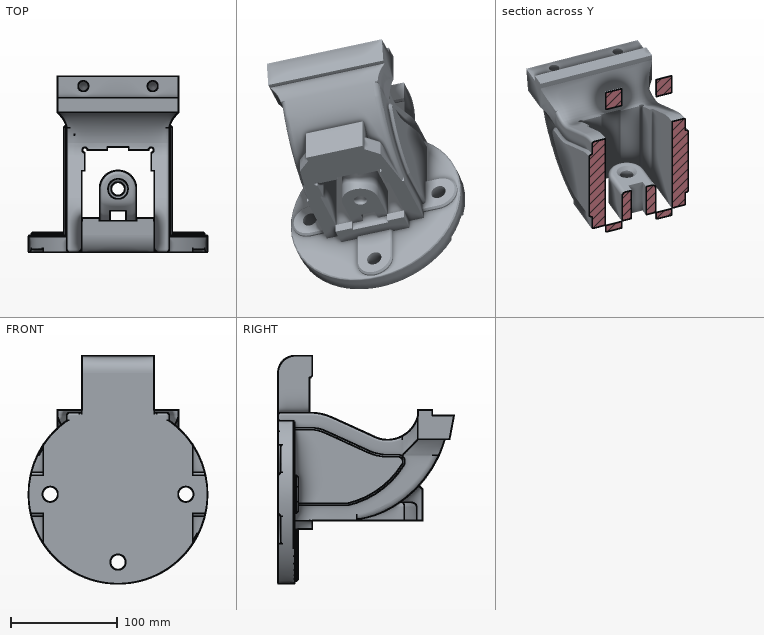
import cadquery as cq
import math


disc_radius = 84.36
disc_thickness = 16.0
disc_edge = 1.3
top_z = 130.58
tab_half_width = 34.0
tab_thickness = 29.9
tab_round = 16.5
lip_back_y = 32.5
lip_bottom_z = 109.8
lip_gap_half_width = 17.5
tab_bottom_z = -32.9

arm_half_width = 48.1
arm_top_z = 77.0
arm_bottom_z = -24.7
arm_top_round = 2.8
arm_back_round = 5.2

panel_raise = 3.0
panel_edge = 2.0
panel_inset = 14.2
panel_bottom_z = -10.5
panel_tip_y = 123.8
panel_tip_radius = 6.5

head_half_width = 57.2
head_front_y = 131.8
head_step_y = 145.5
head_back_y = 166.0
head_back_bottom_y = 161.6
head_top_z = 79.5
head_step_z = 74.2
head_bottom_z = 51.5
flare_front_y = 117.1
flare_bottom_z = 36.5

cavity_back_y = 96.3


def box(x0, x1, y0, y1, z0, z1):
    return cq.Workplane("XY").box(x1 - x0, y1 - y0, z1 - z0, centered=False).translate((x0, y0, z0))


def wide_box(half_width, y0, y1, z0, z1):
    return box(-half_width, half_width, y0, y1, z0, z1)


def both_sides(solid):
    return solid.union(solid.mirror("YZ"))


def bore(x, z, radius, length):
    """Cylinder along +Y from the front face."""
    return cq.Workplane("XZ").center(x, z).circle(radius).extrude(-length)


bolt_circle_radius = 63.8
bolt_hole_radius = 7.0
pad_radius = 17.8
pad_back_y = 19.1
pad_edge = 1.7
bolt_places = [(-bolt_circle_radius, 0), (bolt_circle_radius, 0), (0, -bolt_circle_radius)]


def make_disc_blank():
    return bore(0, 0, disc_radius, disc_thickness).edges().fillet(disc_edge)


def make_disc():
    disc = make_disc_blank()
    above_arms = wide_box(disc_radius, -2.1, disc_thickness + 2.1, arm_top_z, disc_radius + 2.1)
    disc = disc.cut(above_arms)
    for x, z in bolt_places:
        run = bolt_circle_radius
        pad = bore(0, 0, pad_radius, pad_back_y).union(
            box(0, run, 0, pad_back_y, -pad_radius, pad_radius)
        )
        pad = pad.union(bore(run, 0, pad_radius, pad_back_y))
        pad = pad.faces(">Y").edges().chamfer(pad_edge)
        angle = -math.degrees(math.atan2(z, x))
        disc = disc.union(pad.rotate((0, 0, 0), (0, 1, 0), angle))
    return disc


rim_pocket_x = 70.3
rim_pocket_depth = 2.8
rim_pocket_slope = 2.8


def make_rim_pockets():
    reach = rim_pocket_depth + disc_edge
    pocket = (
        cq.Workplane("YZ")
        .moveTo(-2.1, pad_radius)
        .lineTo(0, pad_radius)
        .lineTo(rim_pocket_depth, pad_radius + rim_pocket_slope)
        .lineTo(reach, pad_radius + rim_pocket_slope)
        .lineTo(reach, disc_radius)
        .lineTo(-2.1, disc_radius)
        .close()
        .extrude(disc_radius - rim_pocket_x)
        .translate((rim_pocket_x, 0, 0))
    )
    pocket = pocket.cut(make_disc_blank().translate((0, rim_pocket_depth, 0)))
    return both_sides(pocket.union(pocket.mirror("XY")))


lip_chamfer = 1.7


def make_tab():
    tab = wide_box(tab_half_width, 0, tab_thickness, tab_bottom_z, top_z)
    tab = tab.edges(">Z and <Y").fillet(tab_round)
    upper_lip = box(lip_gap_half_width, tab_half_width, tab_thickness, lip_back_y, lip_bottom_z, top_z)
    upper_lip = upper_lip.edges("<Z and >Y").chamfer(lip_chamfer)
    lower_lip = box(
        lip_gap_half_width, tab_half_width, tab_thickness, lip_back_y, tab_bottom_z, arm_bottom_z
    )
    return tab.union(both_sides(upper_lip)).union(both_sides(lower_lip))


back_centre_y = 52.9
back_centre_z = 81.7
back_radius = 108.5


def back_arc_y(z):
    return back_centre_y + math.sqrt(back_radius**2 - (z - back_centre_z) ** 2)


top_level_end_y = 30.3
top_slope = math.radians(24.5)
knee_radius = 49.9
valley_radius = 27.5
valley_y = 103.2


def draw_top(outline, inset):
    """Draw from the front to the lowest point of the arms' top, shifted inwards by inset."""
    bend_out = knee_radius - inset
    bend_in = valley_radius + inset
    sine = math.sin(top_slope)
    rise = 1 - math.cos(top_slope)
    level_z = arm_top_z - inset
    slope_start_y = top_level_end_y + bend_out * sine
    slope_start_z = level_z - bend_out * rise
    slope_end_y = valley_y - bend_in * sine
    slope_end_z = slope_start_z - (slope_end_y - slope_start_y) * math.tan(top_slope)
    return (
        outline.lineTo(0, level_z)
        .lineTo(top_level_end_y, level_z)
        .tangentArcPoint((slope_start_y, slope_start_z), relative=False)
        .lineTo(slope_end_y, slope_end_z)
        .tangentArcPoint((valley_y, slope_end_z - bend_in * rise), relative=False)
    )


def side_outline():
    outline = cq.Workplane("YZ").moveTo(0, arm_bottom_z)
    middle_z = (arm_bottom_z + head_bottom_z) / 2
    return (
        draw_top(outline, 0)
        .tangentArcPoint((head_front_y, head_step_z), relative=False)
        .lineTo(head_front_y, head_bottom_z)
        .lineTo(back_arc_y(head_bottom_z), head_bottom_z)
        .threePointArc((back_arc_y(middle_z), middle_z), (back_arc_y(arm_bottom_z), arm_bottom_z))
        .close()
    )


def make_arms():
    arms = side_outline().extrude(arm_half_width, both=True)
    top_zone = cq.selectors.BoxSelector(
        (-head_half_width, -2.1, flare_bottom_z), (head_half_width, flare_front_y, top_z)
    )
    arms = arms.edges("|X and >Z and <Y").fillet(arm_top_round)
    arms = arms.faces("<X or >X").edges(top_zone).edges("not |Z").fillet(arm_top_round)
    rounder = cq.Workplane("YZ").center(back_centre_y, back_centre_z).circle(back_radius)
    rounder = rounder.extrude(arm_half_width, both=True).edges().fillet(arm_back_round)
    straight_part = wide_box(arm_half_width, 0, back_arc_y(arm_bottom_z), arm_bottom_z, arm_top_z)
    return arms.intersect(rounder.union(straight_part))


def make_flares():
    """Concave flares that widen the web from the arms' width to the head's."""
    flare_middle_x = 51.0
    reach = head_back_y + 2.1

    def outline(plane, start, end):
        middle = (start + end) / 2
        return (
            cq.Workplane(plane)
            .moveTo(0, start)
            .lineTo(arm_half_width, start)
            .threePointArc((flare_middle_x, middle), (head_half_width, end))
            .lineTo(head_half_width, reach)
            .lineTo(0, reach)
            .close()
            .extrude(reach, both=True)
        )

    flare = side_outline().extrude(head_half_width)
    flare = flare.intersect(outline("XY", flare_front_y, head_front_y))
    flare = flare.intersect(outline("XZ", flare_bottom_z, head_bottom_z))
    return both_sides(flare)


def make_panels():
    outline = cq.Workplane("YZ").moveTo(0, panel_bottom_z)
    panel = (
        draw_top(outline, panel_inset)
        .line(panel_tip_y - valley_y, 0)
        .threePointArc((97.5, 4.3), (65.5, panel_bottom_z))
        .close()
        .extrude(arm_half_width + panel_raise - tab_half_width)
        .translate((tab_half_width, 0, 0))
    )
    panel = panel.edges("|X and >Y").fillet(panel_tip_radius)
    panel = panel.faces(">X").edges().chamfer(panel_edge)
    return both_sides(panel)


head_hole_x = 32.7
head_hole_y = 156.5
head_hole_radius = 5.0
head_hole_depth = 13.0


def make_head():
    head = (
        cq.Workplane("YZ")
        .polyline(
            [
                (head_front_y, head_bottom_z),
                (head_back_bottom_y, head_bottom_z),
                (head_back_y, head_step_z),
                (head_step_y, head_step_z),
                (head_step_y, head_top_z),
                (head_front_y, head_top_z),
            ]
        )
        .close()
        .extrude(head_half_width, both=True)
    )
    drill = cq.Workplane(
        cq.Solid.makeCylinder(head_hole_radius, head_hole_depth, cq.Vector(0, 0, 0), cq.Vector(0, 0, -1))
    )
    tip = cq.Solid.makeCone(
        head_hole_radius, 0, head_hole_radius / 2, cq.Vector(0, 0, -head_hole_depth), cq.Vector(0, 0, -1)
    )
    drill = drill.union(cq.Workplane(tip)).translate((head_hole_x, head_hole_y, head_step_z))
    return head.cut(both_sides(drill))


foot_half_width = 28.2
foot_back_y = 136.3
foot_top_z = 7.5
foot_chamfer = 2.8
foot_side_top_z = -7.5
foot_side_front_y = 62.3
foot_side_back_y = 130.7
foot_side_round = 4.3


def make_foot():
    foot = wide_box(foot_half_width, cavity_back_y, foot_back_y, arm_bottom_z, foot_top_z)
    foot = foot.edges(">Y and >Z").chamfer(foot_chamfer)
    side = (
        cq.Workplane("XY")
        .polyline(
            [
                (0, foot_side_front_y),
                (arm_half_width, foot_side_front_y),
                (40.0, 119.0),
                (foot_half_width, foot_side_back_y),
                (0, foot_side_back_y),
            ]
        )
        .close()
        .extrude(foot_side_top_z - arm_bottom_z)
        .translate((0, 0, arm_bottom_z))
    )
    side = side.faces(">Z").edges("not #X").edges("not <Y").fillet(foot_side_round)
    return foot.union(both_sides(side))


narrow_half_width = 31.2
narrow_front_y = 76.7
recess_half_width = 10.0
recess_back_y = 99.0
corner_relief_radius = 2.4


def make_cavity():
    low, high = tab_bottom_z, top_z
    cavity = wide_box(tab_half_width, tab_thickness, narrow_front_y, low, high)
    cavity = cavity.union(wide_box(narrow_half_width, tab_thickness, cavity_back_y, low, high))
    cavity = cavity.union(wide_box(recess_half_width, tab_thickness, recess_back_y, low, high))
    relief = (
        cq.Workplane("XY")
        .center(narrow_half_width, cavity_back_y)
        .circle(corner_relief_radius)
        .extrude(high - low)
        .translate((0, 0, low))
    )
    return cavity.union(both_sides(relief))


lug_radius = 17.5
lug_hole_y = 59.8
lug_hole_radius = 6.2
lug_countersink_radius = 9.5
lug_top_z = 8.5
lug_round = 4.0
lug_window_half_width = 7.3
lug_window_back_y = 39.1


def make_lug():
    height = lug_top_z - arm_bottom_z
    lug = (
        cq.Workplane("XY")
        .moveTo(-lug_radius, 0)
        .lineTo(-lug_radius, lug_hole_y)
        .threePointArc((0, lug_hole_y + lug_radius), (lug_radius, lug_hole_y))
        .lineTo(lug_radius, 0)
        .close()
        .extrude(height)
        .translate((0, 0, arm_bottom_z))
    )
    lug = lug.faces(">Z").edges("not <Y").fillet(lug_round)
    lug = (
        lug.faces(">Z")
        .workplane(origin=(0, lug_hole_y, lug_top_z))
        .cskHole(2 * lug_hole_radius, 2 * lug_countersink_radius, 90)
    )
    window = wide_box(lug_window_half_width, tab_thickness, lug_window_back_y, arm_bottom_z, lug_top_z)
    return lug.cut(window)


arms = make_arms().union(make_flares()).union(make_panels()).union(make_foot())
result = arms.cut(make_cavity()).union(make_head()).union(make_disc())
result = result.union(make_tab()).union(make_lug()).cut(make_rim_pockets())
for hole_x, hole_z in bolt_places:
    result = result.cut(bore(hole_x, hole_z, bolt_hole_radius, pad_back_y))